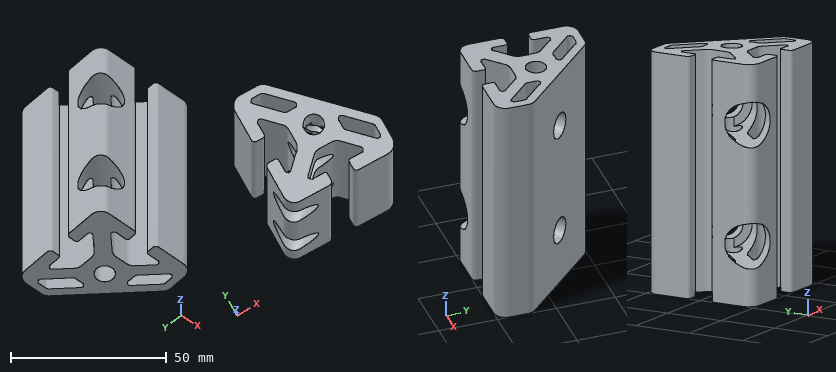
import cadquery as cq
import math

side = 40.0
length = 80.0
corner_radius = 4.0
bevel_sum = 52.0
bevel_radius = 4.0
core_hole_diameter = 6.8

slot_opening = 8.0
lip_thickness = 4.5
slot_depth = 12.2
slot_flank_reach = 15.9
lip_outer_radius = 1.4
lip_inner_radius = 0.8
slot_tip_radius = 1.0
slot_floor_radius = 3.6

chamber_near = 27.8
chamber_far = 37.1
chamber_inner_sum = 41.7
chamber_outer_sum = 47.7
chamber_acute_radius = 1.0
chamber_obtuse_radius = 1.6

screw_heights = (length / 4, 3 * length / 4)
counterbore_diameter = 15.0
screw_hole_diameter = 9.0
counterbore_floor = 22.2 * math.sqrt(2)

middle = side / 2
diagonal = cq.Vector(1, 1, 0)


def swap_axes(points):
    """Mirror points across the x = y diagonal."""
    return [(y, x) for x, y in points]


def prism(points):
    return cq.Workplane("XY").polyline(points).close().extrude(length)


def round_edges(body, points, radius):
    """Fillet the upright edges that pass through the given points."""
    for x, y in points:
        edge = cq.selectors.NearestToPointSelector((x, y, length / 2))
        body = body.edges("|Z").edges(edge).fillet(radius)
    return body


def make_body():
    bevel_start = bevel_sum - side
    bevel_ends = [(side, bevel_start), (bevel_start, side)]
    square_corners = [(0, 0), (side, 0), (0, side)]
    outline = [(0, 0), (side, 0), *bevel_ends, (0, side)]
    body = round_edges(prism(outline), square_corners, corner_radius)
    return round_edges(body, bevel_ends, bevel_radius)


def cut_slot(body, orient):
    """Cut a T-slot into the y = 0 face, or the x = 0 face if orient swaps the axes."""
    def mirrored_pair(half_width, depth):
        return orient([(middle - half_width, depth), (middle + half_width, depth)])

    mouth = mirrored_pair(slot_opening / 2, 0)
    lips = mirrored_pair(slot_opening / 2, lip_thickness)
    tips = mirrored_pair(slot_flank_reach - lip_thickness, lip_thickness)
    floor = mirrored_pair(slot_flank_reach - slot_depth, slot_depth)
    outline = [pair[0] for pair in (mouth, lips, tips, floor)]
    outline += [pair[1] for pair in (floor, tips, lips, mouth)]
    body = body.cut(prism(outline))
    body = round_edges(body, mouth, lip_outer_radius)
    body = round_edges(body, lips, lip_inner_radius)
    body = round_edges(body, tips, slot_tip_radius)
    return round_edges(body, floor, slot_floor_radius)


def make_chamber(orient):
    inner_far = (chamber_inner_sum - chamber_far, chamber_far)
    inner_near = (chamber_inner_sum - chamber_near, chamber_near)
    outer_near = (chamber_outer_sum - chamber_near, chamber_near)
    outer_far = (chamber_outer_sum - chamber_far, chamber_far)
    chamber = prism(orient([inner_far, inner_near, outer_near, outer_far]))
    chamber = round_edges(chamber, orient([inner_far, outer_near]), chamber_acute_radius)
    return round_edges(chamber, orient([inner_near, outer_far]), chamber_obtuse_radius)


def make_screw_hole(height):
    start = cq.Vector(0, 0, height)
    counterbore = cq.Solid.makeCylinder(counterbore_diameter / 2, counterbore_floor, start, diagonal)
    through = cq.Solid.makeCylinder(screw_hole_diameter / 2, side, start, diagonal)
    return counterbore.fuse(through)


result = make_body()
for orient in (list, swap_axes):
    result = cut_slot(result, orient)
    result = result.cut(make_chamber(orient))
core_hole = cq.Workplane("XY").center(middle, middle).circle(core_hole_diameter / 2).extrude(length)
result = result.cut(core_hole)
for height in screw_heights:
    result = result.cut(cq.Workplane(make_screw_hole(height)))